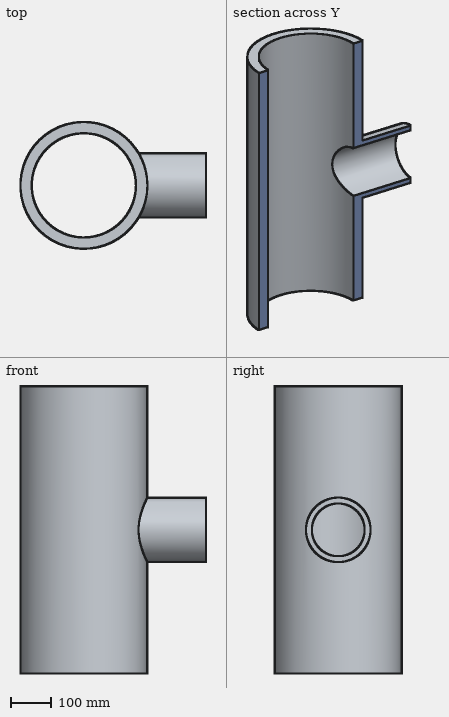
import cadquery as cq

main_diameter = 315.0
main_wall = 28.6
main_length = 712.0

branch_diameter = 160.0
branch_wall = 14.6
branch_reach = 303.0


def main_cylinder(diameter):
    """Full-length cylinder on the main axis."""
    return cq.Workplane("XY").circle(diameter / 2).extrude(main_length / 2, both=True)


def branch_cylinder(diameter):
    """Cylinder on the branch axis, from the main axis to the branch end."""
    return cq.Workplane("YZ").circle(diameter / 2).extrude(branch_reach)


main_bore = main_cylinder(main_diameter - 2 * main_wall)
branch_bore = branch_cylinder(branch_diameter - 2 * branch_wall)

tee_body = main_cylinder(main_diameter).union(branch_cylinder(branch_diameter))
result = tee_body.cut(main_bore).cut(branch_bore)